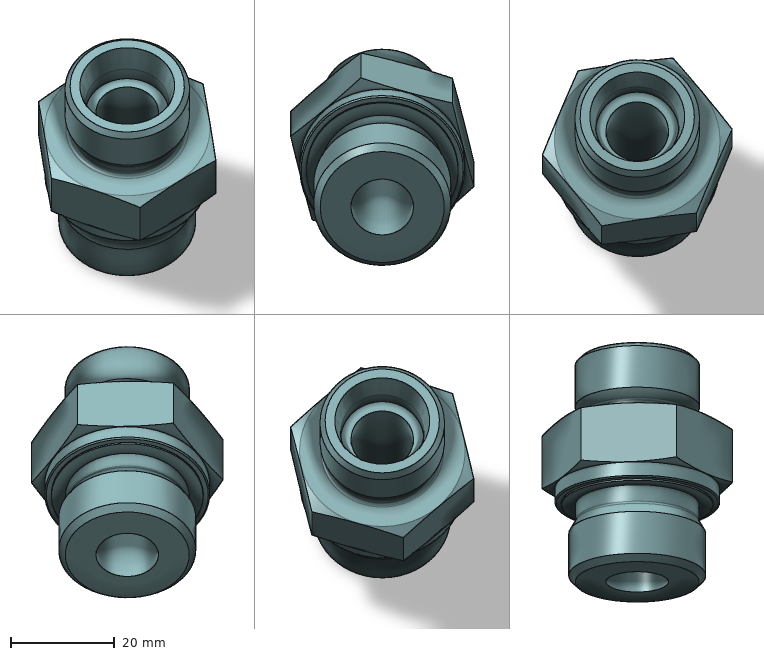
import cadquery as cq
import math

TOTAL_HEIGHT = 45.0
HEX_BOTTOM = 19.0
HEX_HEIGHT = 12.0
HEX_TOP = HEX_BOTTOM + HEX_HEIGHT
UPPER_THREAD_BOTTOM = 35.55
LOWER_THREAD_TOP = 9.8
FLANGE_BOTTOM = 15.98
SEAL_BOTTOM = 15.65

HEX_ACROSS_FLATS = 32.0
HEX_FACE_RADIUS = 31.9 / 2
HEX_CONE_ANGLE = math.radians(15)

UPPER_THREAD_RADIUS = 24.0 / 2
UPPER_NECK_RADIUS = 21.7 / 2
UPPER_CHAMFER = 1.0
LOWER_THREAD_RADIUS = 26.4 / 2
LOWER_NECK_RADIUS = 23.8 / 2
LOWER_CHAMFER = 1.25
FLANGE_RADIUS = 31.75 / 2
FLANGE_CHAMFER = 0.25
RUNOUT_ANGLE = math.radians(30)
NECK_FILLET = 1.0

PASSAGE_RADIUS = 12.0 / 2
SOCKET_RADIUS = 16.0 / 2
SOCKET_DEPTH = 8.5
MOUTH_RADIUS = 18.25 / 2
MOUTH_DEPTH = 5.35

SEAL_OUTER_RADIUS = 29.2 / 2
GROOVE_OUTER_RADIUS = 29.3 / 2
SEAL_INNER_RADIUS = 23.9 / 2
GROOVE_DEPTH = 1.35
GROOVE_TOP = FLANGE_BOTTOM + GROOVE_DEPTH


def revolve(profile):
    """Turn a closed radius-height profile around the Z axis."""
    return profile.close().revolve(360, (0, 0, 0), (0, 1, 0))


def ring(inner_radius, outer_radius, bottom, top):
    """Plain ring with a rectangular section."""
    return (
        cq.Workplane("XY").workplane(offset=bottom)
        .circle(outer_radius).circle(inner_radius).extrude(top - bottom)
    )


def runout_points(neck_radius, thread_radius, thread_end, direction):
    """Points of a run-out cone that blends into a neck through a tangent arc.

    Returns the arc's cone end, its middle and its neck end; direction is the
    sign of the Z travel from the thread towards the neck.
    """
    def arc_radius(angle):
        return neck_radius + NECK_FILLET * (1 - math.cos(angle))

    cone_length = (thread_radius - arc_radius(RUNOUT_ANGLE)) / math.tan(RUNOUT_ANGLE)
    neck_end = thread_end + direction * (cone_length + NECK_FILLET * math.sin(RUNOUT_ANGLE))

    def arc_point(angle):
        return (arc_radius(angle), neck_end - direction * NECK_FILLET * math.sin(angle))

    return arc_point(RUNOUT_ANGLE), arc_point(RUNOUT_ANGLE / 2), arc_point(0)


def make_upper_stud():
    """Tube-side thread with its undercut neck, filleted into the hexagon."""
    cone_end, arc_middle, neck_end = runout_points(
        UPPER_NECK_RADIUS, UPPER_THREAD_RADIUS, UPPER_THREAD_BOTTOM, -1
    )
    fillet_inset = NECK_FILLET * (1 - math.sqrt(0.5))
    profile = (
        cq.Workplane("XZ")
        .moveTo(0, HEX_TOP)
        .lineTo(0, TOTAL_HEIGHT)
        .lineTo(UPPER_THREAD_RADIUS - UPPER_CHAMFER, TOTAL_HEIGHT)
        .lineTo(UPPER_THREAD_RADIUS, TOTAL_HEIGHT - UPPER_CHAMFER)
        .lineTo(UPPER_THREAD_RADIUS, UPPER_THREAD_BOTTOM)
        .lineTo(*cone_end)
        .threePointArc(arc_middle, neck_end)
        .lineTo(UPPER_NECK_RADIUS, HEX_TOP + NECK_FILLET)
        .threePointArc(
            (UPPER_NECK_RADIUS + fillet_inset, HEX_TOP + fillet_inset),
            (UPPER_NECK_RADIUS + NECK_FILLET, HEX_TOP),
        )
    )
    return revolve(profile)


def make_hexagon():
    """Wrench hexagon with corners on the Y axis and coned ends."""
    corner_radius = HEX_ACROSS_FLATS / 2 / math.cos(math.pi / 6)
    prism = (
        cq.Workplane("XY").workplane(offset=HEX_BOTTOM)
        .polygon(6, 2 * corner_radius).extrude(HEX_HEIGHT)
        .rotate((0, 0, 0), (0, 0, 1), 30)
    )
    cone_height = HEX_HEIGHT / 4
    cone_radius = HEX_FACE_RADIUS + cone_height / math.tan(HEX_CONE_ANGLE)
    envelope = (
        cq.Workplane("XZ")
        .moveTo(0, HEX_BOTTOM)
        .lineTo(HEX_FACE_RADIUS, HEX_BOTTOM)
        .lineTo(cone_radius, HEX_BOTTOM + cone_height)
        .lineTo(cone_radius, HEX_TOP - cone_height)
        .lineTo(HEX_FACE_RADIUS, HEX_TOP)
        .lineTo(0, HEX_TOP)
    )
    return prism.intersect(revolve(envelope))


def make_lower_stud():
    """Port-side thread, undercut neck and round flange below the hexagon."""
    cone_end, arc_middle, neck_end = runout_points(
        LOWER_NECK_RADIUS, LOWER_THREAD_RADIUS, LOWER_THREAD_TOP, 1
    )
    profile = (
        cq.Workplane("XZ")
        .lineTo(LOWER_THREAD_RADIUS - LOWER_CHAMFER, 0)
        .lineTo(LOWER_THREAD_RADIUS, LOWER_CHAMFER)
        .lineTo(LOWER_THREAD_RADIUS, LOWER_THREAD_TOP)
        .lineTo(*cone_end)
        .threePointArc(arc_middle, neck_end)
        .lineTo(LOWER_NECK_RADIUS, FLANGE_BOTTOM)
        .lineTo(FLANGE_RADIUS - FLANGE_CHAMFER, FLANGE_BOTTOM)
        .lineTo(FLANGE_RADIUS, FLANGE_BOTTOM + FLANGE_CHAMFER)
        .lineTo(FLANGE_RADIUS, HEX_BOTTOM)
        .lineTo(0, HEX_BOTTOM)
    )
    return revolve(profile)


def make_bore():
    """Through passage with a tube socket and a tapered mouth at the top."""
    socket_floor = TOTAL_HEIGHT - SOCKET_DEPTH
    profile = (
        cq.Workplane("XZ")
        .lineTo(PASSAGE_RADIUS, 0)
        .lineTo(PASSAGE_RADIUS, socket_floor)
        .lineTo(SOCKET_RADIUS, socket_floor)
        .lineTo(SOCKET_RADIUS, TOTAL_HEIGHT - MOUTH_DEPTH)
        .lineTo(MOUTH_RADIUS, TOTAL_HEIGHT)
        .lineTo(0, TOTAL_HEIGHT)
    )
    return revolve(profile)


def make_fitting():
    """Fitting body: two threaded studs, hexagon, bore and seal groove."""
    blank = make_lower_stud().union(make_hexagon()).union(make_upper_stud())
    seal_groove = ring(LOWER_NECK_RADIUS, GROOVE_OUTER_RADIUS, FLANGE_BOTTOM, GROOVE_TOP)
    return blank.cut(make_bore()).cut(seal_groove)


def make_seal():
    """Seal ring seated in the groove and standing proud of the flange."""
    return ring(SEAL_INNER_RADIUS, SEAL_OUTER_RADIUS, SEAL_BOTTOM, GROOVE_TOP)


fitting = make_fitting()
seal = make_seal()
result = cq.Compound.makeCompound([fitting.val(), seal.val()])